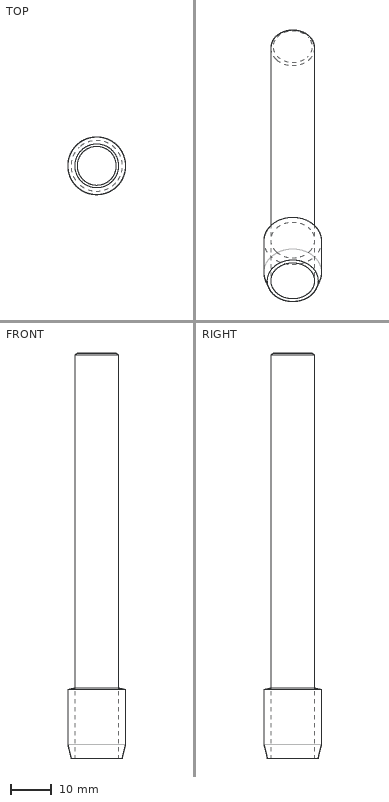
import cadquery as cq

TOTAL_LENGTH = 100.0

ROD_RADIUS = 5.4
CHAMFER_HEIGHT = 0.5
CHAMFER_WIDTH = 0.6

COLLAR_RADIUS = 7.15
COLLAR_RIM_HEIGHT = 17.0
SHOULDER_RISE = 0.4
TAPER_HEIGHT = 3.5
TAPER_END_RADIUS = 6.3


def make_rod():
    """Full-length round rod with a chamfered top edge."""
    return (
        cq.Workplane("XZ")
        .lineTo(ROD_RADIUS, 0)
        .lineTo(ROD_RADIUS, TOTAL_LENGTH - CHAMFER_HEIGHT)
        .lineTo(ROD_RADIUS - CHAMFER_WIDTH, TOTAL_LENGTH)
        .lineTo(0, TOTAL_LENGTH)
        .close()
        .revolve(360, (0, 0, 0), (0, 1, 0))
    )


def make_collar():
    """Sleeve with a tapered lower end and a shallow conical shoulder, bored to fit the rod."""
    return (
        cq.Workplane("XZ")
        .moveTo(ROD_RADIUS, 0)
        .lineTo(TAPER_END_RADIUS, 0)
        .lineTo(COLLAR_RADIUS, TAPER_HEIGHT)
        .lineTo(COLLAR_RADIUS, COLLAR_RIM_HEIGHT)
        .lineTo(ROD_RADIUS, COLLAR_RIM_HEIGHT + SHOULDER_RISE)
        .close()
        .revolve(360, (0, 0, 0), (0, 1, 0))
    )


rod = make_rod()
collar = make_collar()
result = cq.Compound.makeCompound([rod.val(), collar.val()])